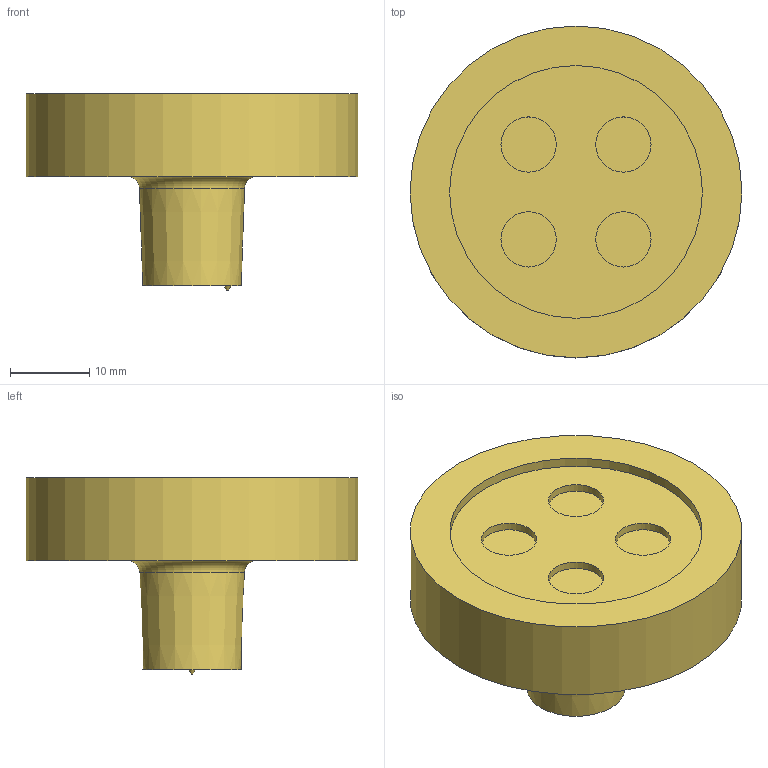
import cadquery as cq
import math

head_diameter = 42.0
head_height = 10.5

recess_diameter = 32.0
recess_depth = 1.25
pocket_diameter = 7.0
pocket_depth = 1.0
pocket_spacing = 12.0

stem_length = 13.8
stem_root_diameter = 13.4
stem_taper_angle = 2.0
stem_fillet_radius = 1.5

point_diameter = 0.9
point_tip_diameter = 0.2
point_height = 0.6
point_offset_x = 4.5

point_root_length = 0.2


def make_head_and_stem():
    """Head disc with the stem, filleted where they meet."""
    head = cq.Workplane("XY").circle(head_diameter / 2).extrude(head_height)
    stem_root_radius = stem_root_diameter / 2
    stem_end_radius = stem_root_radius - stem_length * math.tan(math.radians(stem_taper_angle))
    stem_profile = (
        cq.Workplane("XZ")
        .moveTo(0, -stem_length)
        .lineTo(stem_end_radius, -stem_length)
        .lineTo(stem_root_radius, 0)
        .lineTo(0, 0)
        .close()
    )
    stem = stem_profile.revolve(360, (0, 0, 0), (0, 1, 0))
    stem_root_edge = cq.selectors.RadiusNthSelector(1)
    return head.union(stem).edges("%CIRCLE").edges(stem_root_edge).fillet(stem_fillet_radius)


def make_recess():
    """Volume removed by the round recess in the top face."""
    recess_floor = head_height - recess_depth
    return (
        cq.Workplane("XY")
        .workplane(offset=recess_floor)
        .circle(recess_diameter / 2)
        .extrude(recess_depth)
    )


def make_pockets():
    """Volume removed by the four pockets in the recess floor."""
    pocket_floor = head_height - recess_depth - pocket_depth
    return (
        cq.Workplane("XY")
        .workplane(offset=pocket_floor)
        .rarray(pocket_spacing, pocket_spacing, 2, 2)
        .circle(pocket_diameter / 2)
        .extrude(pocket_depth)
    )


def make_point():
    """Conical point below the stem, with a short root inside the stem."""
    point_radius = point_diameter / 2
    cone = cq.Solid.makeCone(
        point_radius,
        point_tip_diameter / 2,
        point_height,
        pnt=cq.Vector(point_offset_x, 0, -stem_length),
        dir=cq.Vector(0, 0, -1),
    )
    root = cq.Solid.makeCylinder(
        point_radius,
        point_root_length,
        pnt=cq.Vector(point_offset_x, 0, -stem_length),
        dir=cq.Vector(0, 0, 1),
    )
    return cq.Workplane(cone).union(cq.Workplane(root))


body = make_head_and_stem()
body = body.cut(make_recess()).cut(make_pockets())
result = body.union(make_point())